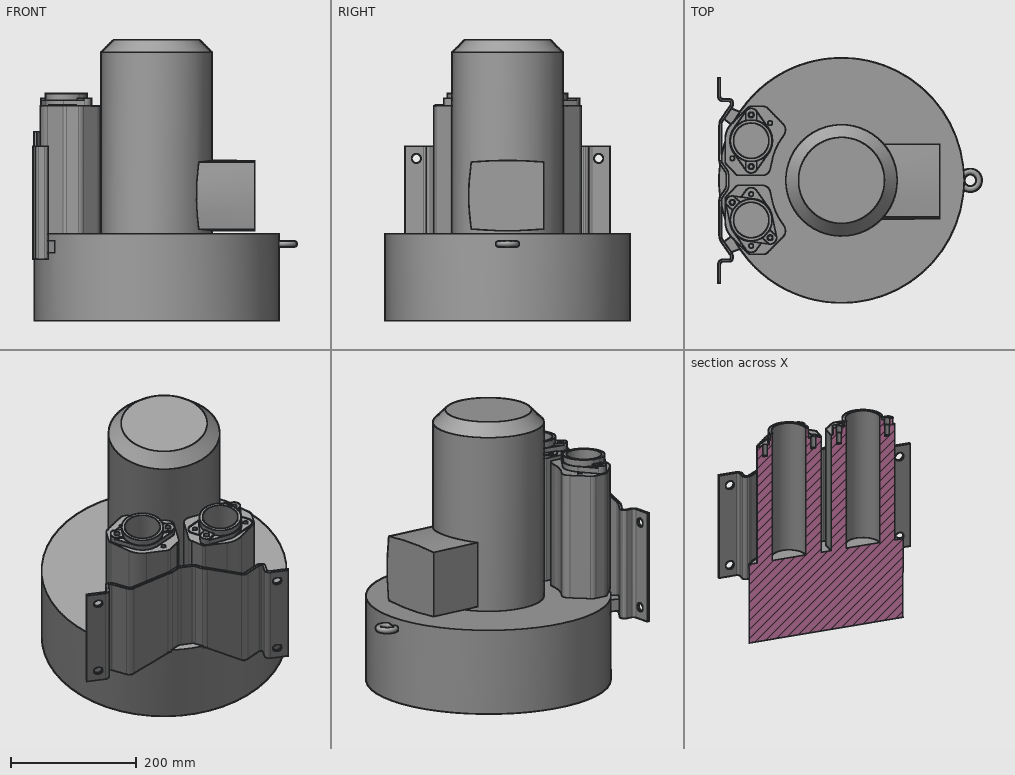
import cadquery as cq
import math


HOUSING_RADIUS = 195.0
HOUSING_HEIGHT = 139.0
MOTOR_RADIUS = 88.5
MOTOR_TOP = 447.0
MOTOR_CHAMFER = 20.0

BOX_END = 156.5
BOX_HALF_WIDTH = 57.5
BOX_BOTTOM = 146.0
BOX_TOP = 252.5
BOX_END_BULGE = 2.5
BOX_SIDE_BULGE = 4.0

EYE_RADIUS = 14.0
EYE_WIRE_RADIUS = 5.0
EYE_X = 205.0
EYE_Z = 122.5

PORT_X = -143.5
PORT_Y = 63.0
PORT_BODY_TOP = 342.0
FLANGE_THICKNESS = 9.0
TAB_HEIGHT = 3.0
TAB_WIDTH = 17.5
TAB_START = 32.5
COLLAR_TOP = 361.7
COLLAR_RADIUS = 33.0
FLANGE_RADIUS = 34.0
BORE_RADIUS = 28.0
BOLT_DISTANCE = 41.0
LUG_RADIUS = 10.5
FLANGE_HOLE_RADIUS = 4.5
BODY_HOLE_RADIUS = 3.5
BODY_HOLE_DEPTH = 18.0
GASKET_THICKNESS = 1.5
STRAIGHT_ANGLE = 90
OBLIQUE_ANGLE = 137

SHEET = 4.0
CENTRE_BEND = 11.0
PANEL_END_BEND = 18.0
CREST_BEND = 4.0
WALL_BEND = 6.3
BRACKET_BOTTOM = 98.5
BRACKET_TOP = 278.0
CENTRE_BOTTOM = 135.5
CENTRE_TOP = 301.0
CENTRE_HALF_WIDTH = 31.5
SLOPE_HALF_WIDTH = 91.5
BRACKET_HALF_WIDTH = 163.0
WALL_X = -194.5
PANEL_X = -192.5
CENTRE_X = -181.5
CENTRE_END_Y = 12.5
PANEL_START_Y = 28.5
PANEL_END_Y = 92.5
CREST_X = -174.5
CREST_Y = 119.0
WALL_BEND_Y = 127.5
TRIM_DEPTH = 223.5
BRACKET_HOLE_RADIUS = 7.0
BRACKET_HOLE_Y = 145.0
BRACKET_HOLE_Z = (118.0, 258.5)

BLOCK_BOTTOM = 108.0
BLOCK_HEIGHT = 19.5


def cylinder(radius, bottom, top, x=0.0, y=0.0):
    """Upright cylinder between two heights."""
    return cq.Workplane("XY", origin=(x, y, bottom)).circle(radius).extrude(top - bottom)


def make_motor():
    motor = cylinder(MOTOR_RADIUS, 0, MOTOR_TOP)
    return motor.faces(">Z").chamfer(MOTOR_CHAMFER)


def make_terminal_box():
    middle_z = (BOX_BOTTOM + BOX_TOP) / 2
    return (
        cq.Workplane("YZ")
        .moveTo(BOX_HALF_WIDTH, BOX_BOTTOM)
        .lineTo(BOX_HALF_WIDTH, BOX_TOP)
        .threePointArc((0, BOX_TOP + BOX_END_BULGE), (-BOX_HALF_WIDTH, BOX_TOP))
        .threePointArc((-BOX_HALF_WIDTH - BOX_SIDE_BULGE, middle_z), (-BOX_HALF_WIDTH, BOX_BOTTOM))
        .threePointArc((0, BOX_BOTTOM - BOX_END_BULGE), (BOX_HALF_WIDTH, BOX_BOTTOM))
        .close()
        .extrude(BOX_END)
    )


def make_lifting_eye():
    ring = cq.Solid.makeTorus(EYE_RADIUS, EYE_WIRE_RADIUS, cq.Vector(EYE_X, 0, EYE_Z))
    return cq.Workplane(obj=ring)


def bolt_points(angle):
    """The two opposite bolt centres on the line at this angle about a port axis."""
    x = BOLT_DISTANCE * math.cos(math.radians(angle))
    y = BOLT_DISTANCE * math.sin(math.radians(angle))
    return [(x, y), (-x, -y)]


def flange_plate(bottom, thickness):
    """Two-lug flange: middle circle and two lug circles joined by tangent lines, lugs along X."""
    lean = (FLANGE_RADIUS - LUG_RADIUS) / BOLT_DISTANCE
    rise = math.sqrt(1 - lean**2)
    middle_x, middle_y = FLANGE_RADIUS * lean, FLANGE_RADIUS * rise
    lug_x, lug_y = BOLT_DISTANCE + LUG_RADIUS * lean, LUG_RADIUS * rise
    tip_x = BOLT_DISTANCE + LUG_RADIUS
    return (
        cq.Workplane("XY", origin=(0, 0, bottom))
        .moveTo(middle_x, middle_y)
        .threePointArc((0, FLANGE_RADIUS), (-middle_x, middle_y))
        .lineTo(-lug_x, lug_y)
        .threePointArc((-tip_x, 0), (-lug_x, -lug_y))
        .lineTo(-middle_x, -middle_y)
        .threePointArc((0, -FLANGE_RADIUS), (middle_x, -middle_y))
        .lineTo(lug_x, -lug_y)
        .threePointArc((tip_x, 0), (lug_x, lug_y))
        .close()
        .extrude(thickness)
    )


def make_flange(angle):
    """Flange with raised bolt tabs and a collar that is cut flat beside each tab."""
    plate_top = PORT_BODY_TOP + FLANGE_THICKNESS
    tab_top = plate_top + TAB_HEIGHT
    tab_length = 2 * (BOLT_DISTANCE + LUG_RADIUS)
    tab_strip = cq.Workplane("XY").box(tab_length, TAB_WIDTH, 2 * tab_top)
    collar = cylinder(COLLAR_RADIUS, PORT_BODY_TOP, COLLAR_TOP)
    tab_space_length = tab_length / 2 - TAB_START
    for side in (-1, 1):
        tab_space = cq.Workplane("XY", origin=(side * (TAB_START + tab_space_length / 2), 0, plate_top))
        collar = collar.cut(tab_space.rect(tab_space_length, TAB_WIDTH).extrude(COLLAR_TOP - plate_top))

    tabs = flange_plate(PORT_BODY_TOP, FLANGE_THICKNESS + TAB_HEIGHT).intersect(tab_strip)
    flange = flange_plate(PORT_BODY_TOP, FLANGE_THICKNESS).union(tabs).union(collar)
    for x, y in bolt_points(0):
        flange = flange.cut(cylinder(FLANGE_HOLE_RADIUS, PORT_BODY_TOP, tab_top, x, y))
    return flange.rotate((0, 0, 0), (0, 0, 1), angle)


def make_port_body():
    """Cast port column of the +Y side, drawn about its own bore axis."""
    return (
        cq.Workplane("XY", origin=(0, 0, HOUSING_HEIGHT))
        .moveTo(0.5, 54.5)
        .lineTo(19.0, 54.5)
        .threePointArc((23.3, 53.5), (27.0, 51.0))
        .lineTo(50.0, 27.3)
        .threePointArc((54.5, 18.0), (52.8, 10.5))
        .lineTo(43.5, -4.0)
        .threePointArc((36.5, -19.0), (32.0, -36.0))
        .lineTo(30.5, -44.3)
        .threePointArc((27.0, -51.5), (19.5, -55.0))
        .lineTo(-20.0, -55.0)
        .threePointArc((-23.5, -54.0), (-26.0, -51.5))
        .lineTo(-40.0, -37.0)
        .threePointArc((-41.0, -35.0), (-41.5, -32.5))
        .lineTo(-41.5, 2.2)
        .threePointArc((-39.0, 15.5), (-30.5, 28.0))
        .lineTo(-5.5, 52.5)
        .threePointArc((-2.5, 54.0), (0.5, 54.5))
        .close()
        .extrude(PORT_BODY_TOP - HOUSING_HEIGHT)
    )


def make_port(side, flange_angle, with_gasket):
    """Complete port on the +Y (side = 1) or -Y (side = -1) half, bored down to the housing."""
    body = make_port_body()
    if side < 0:
        body = body.mirror("XZ")
    oblique = OBLIQUE_ANGLE if side < 0 else -OBLIQUE_ANGLE
    hole_top = PORT_BODY_TOP
    if with_gasket:
        gasket = flange_plate(PORT_BODY_TOP, GASKET_THICKNESS)
        body = body.union(gasket.rotate((0, 0, 0), (0, 0, 1), STRAIGHT_ANGLE))
        hole_top += GASKET_THICKNESS

    port = body.union(make_flange(flange_angle))
    for x, y in bolt_points(STRAIGHT_ANGLE) + bolt_points(oblique):
        port = port.cut(cylinder(BODY_HOLE_RADIUS, PORT_BODY_TOP - BODY_HOLE_DEPTH, hole_top, x, y))
    port = port.cut(cylinder(BORE_RADIUS, HOUSING_HEIGHT, COLLAR_TOP))
    return port.translate((PORT_X, side * PORT_Y, 0))


def make_bracket():
    """Bent sheet, symmetric about the XZ plane, trimmed to a waisted outline."""
    bends = [
        (CENTRE_X, CENTRE_END_Y, CENTRE_BEND),
        (PANEL_X, PANEL_START_Y, CENTRE_BEND),
        (PANEL_X, PANEL_END_Y, PANEL_END_BEND),
        (CREST_X, CREST_Y, CREST_BEND),
        (CREST_X, WALL_BEND_Y, CREST_BEND),
        (WALL_X, WALL_BEND_Y, WALL_BEND),
    ]
    half_path = [(x, y) for x, y, radius in bends] + [(WALL_X, BRACKET_HALF_WIDTH)]
    path_points = [(x, -y) for x, y in reversed(half_path)] + half_path
    path = cq.Wire.makePolygon([cq.Vector(x, y, 0) for x, y in path_points])
    for x, y, radius in bends:
        for bend_y in (-y, y):
            bend_point = cq.Vertex.makeVertex(x, bend_y, 0)
            corner = min(path.Vertices(), key=bend_point.distance)
            path = path.fillet(radius, [corner])
    start = cq.Workplane("XZ", origin=(WALL_X, -BRACKET_HALF_WIDTH, 0))
    sheet = start.rect(SHEET, 2 * CENTRE_TOP).sweep(cq.Workplane(obj=path))

    right_half = [
        (CENTRE_HALF_WIDTH, CENTRE_TOP),
        (SLOPE_HALF_WIDTH, BRACKET_TOP),
        (BRACKET_HALF_WIDTH, BRACKET_TOP),
        (BRACKET_HALF_WIDTH, BRACKET_BOTTOM),
        (SLOPE_HALF_WIDTH, BRACKET_BOTTOM),
        (CENTRE_HALF_WIDTH, CENTRE_BOTTOM),
    ]
    outline = right_half + [(-y, z) for y, z in reversed(right_half)]
    bracket = sheet.intersect(cq.Workplane("YZ").polyline(outline).close().extrude(-TRIM_DEPTH))
    holes = (
        cq.Workplane("YZ")
        .pushPoints([(side * BRACKET_HOLE_Y, z) for side in (-1, 1) for z in BRACKET_HOLE_Z])
        .circle(BRACKET_HOLE_RADIUS)
        .extrude(-TRIM_DEPTH)
    )
    return bracket.cut(holes)


def make_block(side):
    """Block from a sloping panel of the bracket into the housing, slightly wider at the housing."""
    corners = [(-177.5, 115.5), (-156.5, 107.5), (-170.0, 84.5), (-187.5, 98.0)]
    block = cq.Workplane("XY", origin=(0, 0, BLOCK_BOTTOM))
    return block.polyline([(x, side * y) for x, y in corners]).close().extrude(BLOCK_HEIGHT)


result = cylinder(HOUSING_RADIUS, 0, HOUSING_HEIGHT)
for piece in (
    make_motor(),
    make_terminal_box(),
    make_lifting_eye(),
    make_port(1, STRAIGHT_ANGLE, False),
    make_port(-1, OBLIQUE_ANGLE, True),
    make_bracket(),
    make_block(1),
    make_block(-1),
):
    result = result.union(piece)